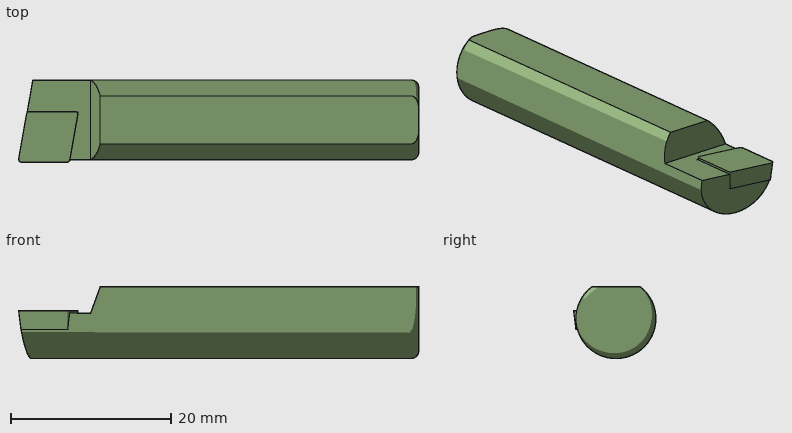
import cadquery as cq
import math


total_length = 50.0
shank_radius = 5.0
flat_height = 4.0
end_fillet = 1.0

recess_floor_z = 0.7
recess_length = 9.0
recess_wall_angle = 20.0

insert_height = 6.35
insert_thickness = 2.38
insert_top_z = 1.0
tip_angle = 80.0
tip_radius = 0.4
relief_angle = 7.0
tip_reach = 5.3

lead_angle = 90.0 - tip_angle
insert_side = insert_height / math.sin(math.radians(tip_angle))
insert_lean = insert_height * math.tan(math.radians(lead_angle))

corner_x = tip_radius - tip_radius / math.tan(math.radians(tip_angle / 2))
corner_y = -tip_reach

clearance = 2 * total_length

def rhombus_outline():
    """Sketch of the unrounded rhombus on the top plane of the insert."""
    corners = [
        (0, 0),
        (insert_side, 0),
        (insert_side + insert_lean, insert_height),
        (insert_lean, insert_height),
    ]
    return cq.Sketch().polygon(corners + corners[:1])

def taper_down(outline):
    """Extrude an outline down from the insert top, narrowing by the relief angle."""
    return (
        cq.Workplane("XY", origin=(corner_x, corner_y, insert_top_z))
        .placeSketch(outline)
        .extrude(-insert_thickness, taper=relief_angle)
    )

def make_insert():
    return taper_down(rhombus_outline().vertices().fillet(tip_radius))

def recess_cutter():
    """Space above the recess floor, closed by a leaning back wall."""
    wall_rise = shank_radius - recess_floor_z
    wall_run = wall_rise * math.tan(math.radians(recess_wall_angle))
    return (
        cq.Workplane("XZ")
        .moveTo(0, recess_floor_z)
        .lineTo(recess_length, recess_floor_z)
        .lineTo(recess_length + wall_run, shank_radius)
        .lineTo(0, shank_radius)
        .close()
        .extrude(shank_radius, both=True)
    )

def front_cutter():
    """Everything ahead of the front face, which lies in the plane of the insert's end side."""
    lead = math.radians(lead_angle)
    relief = math.radians(relief_angle)
    along_edge = (math.sin(lead), math.cos(lead), 0)
    outward = (
        -math.cos(lead) * math.cos(relief),
        math.sin(lead) * math.cos(relief),
        -math.sin(relief),
    )
    front_plane = cq.Plane((corner_x, corner_y, insert_top_z), along_edge, outward)
    return cq.Workplane(front_plane).rect(clearance, clearance).extrude(clearance)

def make_shank():
    bar = (
        cq.Workplane("YZ")
        .circle(shank_radius)
        .extrude(total_length)
        .faces(">X")
        .edges()
        .fillet(end_fillet)
    )
    above_flat = (
        cq.Workplane("XY", origin=(0, 0, flat_height))
        .rect(clearance, clearance)
        .extrude(shank_radius)
    )
    insert_pocket = taper_down(rhombus_outline())
    trimmed = bar.cut(above_flat).cut(recess_cutter()).cut(front_cutter()).cut(insert_pocket)
    return trimmed.solids()

shank = make_shank()
insert = make_insert()

result = cq.Compound.makeCompound([shank.val(), insert.val()])